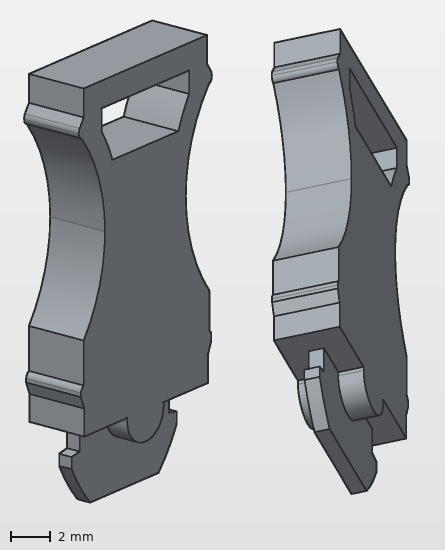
import cadquery as cq
import math

height = 23.1
thickness = 3.5

head_half_width = 5.04
head_bottom_z = 21.55
nose_half_width = 5.43
nose_start_half_width = 5.35
nose_start_z = 21.07
nose_tip_z = 20.8
nose_round_bulge = 0.02
nose_underside_bulge = 0.07
waist_half_width = 3.3
waist_z = 14.97
waist_radius = 8.9
waist_lower_radius = 9.15
waist_top_half_width = 5.2
waist_center_y = waist_half_width + waist_radius

shoulder_y_plus = 5.25
shoulder_y_minus = 5.04
ridge_y_plus = 5.38
ridge_y_minus = 5.27
foot_y_plus = 5.1
foot_y_minus = 5.0
ridge_top_z = 7.2
ridge_flat_top_z = 6.88
ridge_flat_bottom_z = 6.65
ridge_bottom_z = 5.95
ridge_round_bulge = 0.05
body_bottom_z = 4.45

slot_half_width = 3.55
slot_top_z = 21.62
slot_bottom_z = 18.62
slot_wall_radius = waist_radius + 1.3

boss_radius = 1.48
boss_bottom_z = 2.77
boss_center_z = boss_bottom_z + boss_radius

tab_thickness = 0.8
neck_half_width = 3.65
lip_half_width = 4.3
lip_inner_z = 2.98
lip_outer_z = 2.86
lip_bottom_z = 2.22
tip_half_width = 2.8
tip_side_bulge = 0.1


def waist_arc_point(radius, angle):
    """Point on a waist arc; the angle is measured upward from the waist's narrowest place."""
    return (
        waist_half_width + radius * (1 - math.cos(angle)),
        waist_z + radius * math.sin(angle),
    )


def waist_arc_angle(radius, half_width):
    """Angle at which a waist arc reaches the given half width."""
    return math.acos(1 - (half_width - waist_half_width) / radius)


def slot_wall_point(z):
    """Half width of the slot and height, on its curved side wall."""
    return waist_center_y - math.sqrt(slot_wall_radius**2 - (z - waist_z) ** 2), z


def bulged_middle(start, end, bulge):
    """Midpoint of two outline points, pushed out of the part (outline running downward, Y > 0)."""
    dy = end[0] - start[0]
    dz = end[1] - start[1]
    length = math.hypot(dy, dz)
    middle_y = (start[0] + end[0]) / 2 - bulge * dz / length
    middle_z = (start[1] + end[1]) / 2 + bulge * dy / length
    return middle_y, middle_z


def extrude_centered(outline, depth):
    return outline.close().extrude(depth / 2, both=True)


def body_half(side, shoulder, ridge, foot):
    """Body between Y = 0 and one edge; side is +1 for +Y and -1 for -Y."""
    ridge_start = (shoulder, ridge_top_z)
    ridge_end = (ridge, ridge_flat_top_z)
    ridge_middle = bulged_middle(ridge_start, ridge_end, ridge_round_bulge)

    nose_start = (nose_start_half_width, nose_start_z)
    nose_tip = (nose_half_width, nose_tip_z)
    nose_middle = bulged_middle(nose_start, nose_tip, nose_round_bulge)

    upper_angle = waist_arc_angle(waist_radius, waist_top_half_width)
    waist_top = waist_arc_point(waist_radius, upper_angle)
    waist_upper_middle = waist_arc_point(waist_radius, upper_angle / 2)
    nose_underside = bulged_middle(nose_tip, waist_top, nose_underside_bulge)

    lower_angle = -waist_arc_angle(waist_lower_radius, shoulder)
    waist_bottom = waist_arc_point(waist_lower_radius, lower_angle)
    waist_lower_middle = waist_arc_point(waist_lower_radius, lower_angle / 2)

    def place(point):
        return side * point[0], point[1]

    outline = (
        cq.Workplane("YZ")
        .moveTo(0, height)
        .lineTo(*place((head_half_width, height)))
        .lineTo(*place((head_half_width, head_bottom_z)))
        .lineTo(*place(nose_start))
        .threePointArc(place(nose_middle), place(nose_tip))
        .threePointArc(place(nose_underside), place(waist_top))
        .threePointArc(place(waist_upper_middle), place((waist_half_width, waist_z)))
        .threePointArc(place(waist_lower_middle), place(waist_bottom))
        .lineTo(*place(ridge_start))
        .threePointArc(place(ridge_middle), place(ridge_end))
        .lineTo(*place((ridge, ridge_flat_bottom_z)))
        .lineTo(*place((foot, ridge_bottom_z)))
        .lineTo(*place((foot, body_bottom_z)))
        .lineTo(0, body_bottom_z)
    )
    return extrude_centered(outline, thickness)


def strap_slot():
    wall_top_z = waist_z + math.sqrt(slot_wall_radius**2 - (waist_center_y - slot_half_width) ** 2)
    top_y, top_z = slot_half_width, wall_top_z
    middle_y, middle_z = slot_wall_point((wall_top_z + slot_bottom_z) / 2)
    bottom_y, bottom_z = slot_wall_point(slot_bottom_z)
    outline = (
        cq.Workplane("YZ")
        .moveTo(-slot_half_width, slot_top_z)
        .lineTo(slot_half_width, slot_top_z)
        .lineTo(top_y, top_z)
        .threePointArc((middle_y, middle_z), (bottom_y, bottom_z))
        .lineTo(-bottom_y, bottom_z)
        .threePointArc((-middle_y, middle_z), (-top_y, top_z))
    )
    return extrude_centered(outline, thickness)


def boss():
    outline = (
        cq.Workplane("YZ")
        .moveTo(-boss_radius, body_bottom_z)
        .lineTo(-boss_radius, boss_center_z)
        .threePointArc((0, boss_bottom_z), (boss_radius, boss_center_z))
        .lineTo(boss_radius, body_bottom_z)
    )
    return extrude_centered(outline, thickness)


def latch_tab():
    tip_corner = (tip_half_width, 0)
    lip_corner = (lip_half_width, lip_bottom_z)
    side_y, side_z = bulged_middle(lip_corner, tip_corner, tip_side_bulge)
    outline = (
        cq.Workplane("YZ")
        .moveTo(-neck_half_width, body_bottom_z)
        .lineTo(neck_half_width, body_bottom_z)
        .lineTo(neck_half_width, lip_inner_z)
        .lineTo(lip_half_width, lip_outer_z)
        .lineTo(*lip_corner)
        .threePointArc((side_y, side_z), tip_corner)
        .lineTo(-tip_half_width, 0)
        .threePointArc((-side_y, side_z), (-lip_half_width, lip_bottom_z))
        .lineTo(-lip_half_width, lip_outer_z)
        .lineTo(-neck_half_width, lip_inner_z)
    )
    return extrude_centered(outline, tab_thickness)


plus_half = body_half(1, shoulder_y_plus, ridge_y_plus, foot_y_plus)
minus_half = body_half(-1, shoulder_y_minus, ridge_y_minus, foot_y_minus)
body = plus_half.union(minus_half).cut(strap_slot())
result = body.union(boss()).union(latch_tab()).clean()